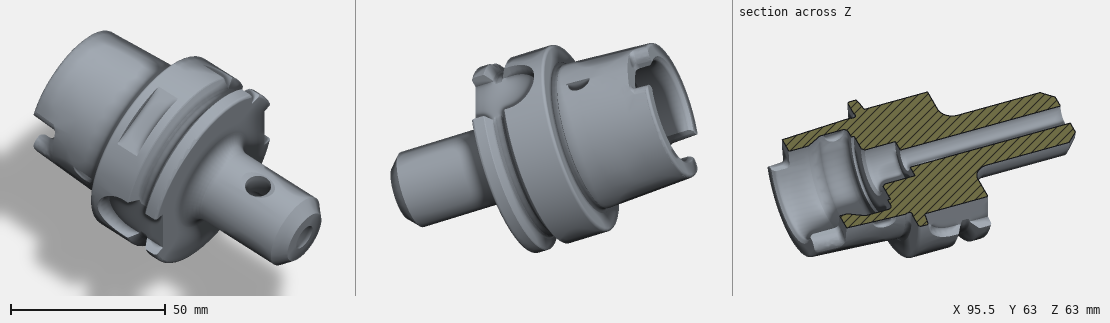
import cadquery as cq
import math

TOTAL_LENGTH = 95.5

TAPER_FACE_RADIUS = 22.7
TAPER_LARGE_RADIUS = 24.4
TAPER_LENGTH = 30.3
TAPER_EDGE_ROUND = 1.0
RELIEF_DEPTH = 0.3
RELIEF_RAMP = 0.2
RELIEF_FILLET = 0.8
FACE_RECESS_RADIUS = 25.5
FACE_RECESS_DEPTH = 0.2

FLANGE_START = 32.0
FLANGE_END = 58.1
FLANGE_RADIUS = 31.5
FLANGE_ROUND = 1.0
GROOVE_CENTRE = 50.0
GROOVE_FLOOR_RADIUS = 27.5
GROOVE_FLANK_RADIUS = 28.3
GROOVE_FLOOR_HALF_WIDTH = 1.0
GROOVE_FLANK_HALF_WIDTH = 1.7
GROOVE_FLANK_ANGLE = 30.0
GROOVE_MOUTH_CHAMFER = 0.3

SHANK_RADIUS = 12.7
SHANK_CHAMFER = 3.8
NECK_FILLET = 5.0

BORE_RADIUS = 17.0
BORE_LIP_LENGTH = 12.8
BORE_ENTRY_WIDTH = 1.05
BORE_ENTRY_ROUND = 1.0
RECESS_RADIUS = 20.0
RECESS_DEPTH = 27.2
RECESS_FILLET = 1.4
CLAMPING_ANGLE = 30.0
BORE_FLOOR_RADIUS = 15.8
BORE_FLOOR_DEPTH = 28.2
COOLANT_POCKET_RADIUS = 8.5
COOLANT_POCKET_CHAMFER = 1.0
COOLANT_POCKET_DEPTH = 11.5
COOLANT_HOLE_DIAMETER = 8.4

SLOT_HALF_WIDTH = 6.1
SLOT_EDGE_FILLET = 3.0
SLOT_FLOOR_FILLET = 1.4
SLOT_INNER_REACH = 9.55
FRONT_SLOT_DEPTH = 10.0
REAR_SLOT_DEPTH = 6.0

ACCESS_HOLE_X = 23.0
ACCESS_HOLE_DIAMETER = 7.5
ACCESS_MOUTH_DIAMETER = 8.4

KEYWAY_CENTRE_X = 45.0
KEYWAY_FLOOR = 26.5
KEYWAY_FLOOR_HALF_WIDTH = 9.0
KEYWAY_RIM_HALF_WIDTH = 9.7

NOTCH_FLOOR_Y = 20.0
NOTCH_WALL_Z = 20.0
NOTCH_END_RADIUS = 8.4

FLAT_START = 35.4
FLAT_WIDTH = 8.0
FLAT_SPAN_ANGLE = 43.0

CROSS_HOLE_X = 76.4
CROSS_HOLE_DIAMETER = 8.4
CROSS_SINK_DIAMETER = 12.0
CROSS_SINK_ANGLE = 120.0

CLEARANCE = 4.8


def make_body():
    """Revolve the outer profile: taper, relief, grooved flange, neck and shank."""
    relief_radius = TAPER_LARGE_RADIUS - RELIEF_DEPTH
    recess_floor = FLANGE_START + FACE_RECESS_DEPTH
    round_offset = 1 - math.sqrt(0.5)
    flank_top = FLANGE_RADIUS - GROOVE_MOUTH_CHAMFER
    flank_run = (flank_top - GROOVE_FLANK_RADIUS) * math.tan(math.radians(GROOVE_FLANK_ANGLE))
    flank_top_half_width = GROOVE_FLANK_HALF_WIDTH + flank_run
    mouth_half_width = flank_top_half_width + GROOVE_MOUTH_CHAMFER
    neck_end = FLANGE_END + NECK_FILLET
    neck_offset = NECK_FILLET * round_offset
    relief_offset = RELIEF_FILLET * round_offset
    edge_offset = FLANGE_ROUND * round_offset
    profile = (
        cq.Workplane("XY")
        .moveTo(0, 0)
        .lineTo(0, TAPER_FACE_RADIUS)
        .lineTo(TAPER_LENGTH, TAPER_LARGE_RADIUS)
        .lineTo(TAPER_LENGTH + RELIEF_RAMP, relief_radius)
        .lineTo(recess_floor - RELIEF_FILLET, relief_radius)
        .threePointArc(
            (recess_floor - relief_offset, relief_radius + relief_offset),
            (recess_floor, relief_radius + RELIEF_FILLET),
        )
        .lineTo(recess_floor, FACE_RECESS_RADIUS)
        .lineTo(FLANGE_START, FACE_RECESS_RADIUS)
        .lineTo(FLANGE_START, FLANGE_RADIUS - FLANGE_ROUND)
        .threePointArc(
            (FLANGE_START + edge_offset, FLANGE_RADIUS - edge_offset),
            (FLANGE_START + FLANGE_ROUND, FLANGE_RADIUS),
        )
        .lineTo(GROOVE_CENTRE - mouth_half_width, FLANGE_RADIUS)
        .lineTo(GROOVE_CENTRE - flank_top_half_width, flank_top)
        .lineTo(GROOVE_CENTRE - GROOVE_FLANK_HALF_WIDTH, GROOVE_FLANK_RADIUS)
        .tangentArcPoint((GROOVE_CENTRE - GROOVE_FLOOR_HALF_WIDTH, GROOVE_FLOOR_RADIUS), relative=False)
        .lineTo(GROOVE_CENTRE + GROOVE_FLOOR_HALF_WIDTH, GROOVE_FLOOR_RADIUS)
        .tangentArcPoint((GROOVE_CENTRE + GROOVE_FLANK_HALF_WIDTH, GROOVE_FLANK_RADIUS), relative=False)
        .lineTo(GROOVE_CENTRE + flank_top_half_width, flank_top)
        .lineTo(GROOVE_CENTRE + mouth_half_width, FLANGE_RADIUS)
        .lineTo(FLANGE_END - FLANGE_ROUND, FLANGE_RADIUS)
        .threePointArc(
            (FLANGE_END - edge_offset, FLANGE_RADIUS - edge_offset),
            (FLANGE_END, FLANGE_RADIUS - FLANGE_ROUND),
        )
        .lineTo(FLANGE_END, SHANK_RADIUS + NECK_FILLET)
        .threePointArc((FLANGE_END + neck_offset, SHANK_RADIUS + neck_offset), (neck_end, SHANK_RADIUS))
        .lineTo(TOTAL_LENGTH - SHANK_CHAMFER, SHANK_RADIUS)
        .lineTo(TOTAL_LENGTH, SHANK_RADIUS - SHANK_CHAMFER)
        .lineTo(TOTAL_LENGTH, 0)
        .close()
    )
    return profile.revolve(360, (0, 0, 0), (1, 0, 0))


def make_bore():
    """Revolve the bore, its coolant pocket and the coolant hole through the shank."""
    hole_radius = COOLANT_HOLE_DIAMETER / 2
    pocket_floor = BORE_FLOOR_DEPTH + COOLANT_POCKET_DEPTH
    fillet_offset = RECESS_FILLET * (1 - math.sqrt(0.5))
    entry_run = BORE_ENTRY_ROUND * math.sqrt(0.5)
    entry_offset = BORE_ENTRY_ROUND - entry_run
    chamfer_depth = BORE_ENTRY_WIDTH - entry_offset
    clamping_run = (RECESS_RADIUS - BORE_RADIUS) / math.tan(math.radians(CLAMPING_ANGLE))
    profile = (
        cq.Workplane("XY")
        .moveTo(0, 0)
        .lineTo(0, BORE_RADIUS + BORE_ENTRY_WIDTH)
        .lineTo(chamfer_depth, BORE_RADIUS + entry_offset)
        .tangentArcPoint((chamfer_depth + entry_run, BORE_RADIUS), relative=False)
        .lineTo(BORE_LIP_LENGTH, BORE_RADIUS)
        .lineTo(BORE_LIP_LENGTH + clamping_run, RECESS_RADIUS)
        .lineTo(RECESS_DEPTH - RECESS_FILLET, RECESS_RADIUS)
        .threePointArc(
            (RECESS_DEPTH - fillet_offset, RECESS_RADIUS - fillet_offset),
            (RECESS_DEPTH, RECESS_RADIUS - RECESS_FILLET),
        )
        .lineTo(RECESS_DEPTH, BORE_FLOOR_RADIUS)
        .lineTo(BORE_FLOOR_DEPTH, BORE_FLOOR_RADIUS)
        .lineTo(BORE_FLOOR_DEPTH, COOLANT_POCKET_RADIUS + COOLANT_POCKET_CHAMFER)
        .lineTo(BORE_FLOOR_DEPTH + COOLANT_POCKET_CHAMFER, COOLANT_POCKET_RADIUS)
        .lineTo(pocket_floor, COOLANT_POCKET_RADIUS)
        .lineTo(pocket_floor, hole_radius)
        .lineTo(TOTAL_LENGTH, hole_radius)
        .lineTo(TOTAL_LENGTH, 0)
        .close()
    )
    return profile.revolve(360, (0, 0, 0), (1, 0, 0))


def cut_drive_slot(body, side, depth):
    """Cut a drive slot into the solid taper end on the +Y (side = 1) or -Y (side = -1) side."""
    outer_reach = FLANGE_RADIUS
    slot = (
        cq.Workplane("XY")
        .box(depth, outer_reach - SLOT_INNER_REACH, 2 * SLOT_HALF_WIDTH, centered=(False, True, True))
        .translate((0, side * (outer_reach + SLOT_INNER_REACH) / 2, 0))
    )
    slotted = body.cut(slot).edges("%HYPERBOLA").fillet(SLOT_EDGE_FILLET)
    floor_centre = (depth, side * (SLOT_INNER_REACH + TAPER_FACE_RADIUS) / 2, 0)
    floor = slotted.faces(cq.selectors.NearestToPointSelector(floor_centre))
    return floor.edges("|Y").fillet(SLOT_FLOOR_FILLET)


def make_taper_edge():
    """Ring outside the rounded outer edge of the taper face."""
    round_start = TAPER_FACE_RADIUS - TAPER_EDGE_ROUND
    round_offset = TAPER_EDGE_ROUND * (1 - math.sqrt(0.5))
    profile = (
        cq.Workplane("XY")
        .moveTo(0, round_start)
        .threePointArc((round_offset, TAPER_FACE_RADIUS - round_offset), (TAPER_EDGE_ROUND, TAPER_FACE_RADIUS))
        .lineTo(TAPER_EDGE_ROUND, TAPER_LARGE_RADIUS)
        .lineTo(0, TAPER_LARGE_RADIUS)
        .close()
    )
    return profile.revolve(360, (0, 0, 0), (1, 0, 0))


def make_access_hole():
    """Cross hole along Y with chamfered mouths, kept only below the axis."""
    hole_radius = ACCESS_HOLE_DIAMETER / 2
    mouth_radius = ACCESS_MOUTH_DIAMETER / 2
    surface_radius = (
        TAPER_FACE_RADIUS + (TAPER_LARGE_RADIUS - TAPER_FACE_RADIUS) * ACCESS_HOLE_X / TAPER_LENGTH
    )
    chamfer_start = surface_radius - (mouth_radius - hole_radius)
    mouth_end = surface_radius + CLEARANCE
    profile = (
        cq.Workplane("XY")
        .moveTo(0, -mouth_end)
        .lineTo(mouth_radius, -mouth_end)
        .lineTo(mouth_radius, -surface_radius)
        .lineTo(hole_radius, -chamfer_start)
        .lineTo(hole_radius, chamfer_start)
        .lineTo(mouth_radius, surface_radius)
        .lineTo(mouth_radius, mouth_end)
        .lineTo(0, mouth_end)
        .close()
    )
    half_hole = profile.revolve(180, (0, 0, 0), (0, 1, 0))
    return half_hole.translate((ACCESS_HOLE_X, 0, 0))


def make_keyway(side):
    """Round-ended keyway with drafted walls, open toward the shank end of the flange."""
    draft = math.atan2(KEYWAY_RIM_HALF_WIDTH - KEYWAY_FLOOR_HALF_WIDTH, FLANGE_RADIUS - KEYWAY_FLOOR)
    open_end = FLANGE_END + CLEARANCE
    keyway = (
        cq.Workplane("XZ", origin=(0, -KEYWAY_FLOOR, 0))
        .moveTo(open_end, -KEYWAY_FLOOR_HALF_WIDTH)
        .lineTo(KEYWAY_CENTRE_X, -KEYWAY_FLOOR_HALF_WIDTH)
        .threePointArc(
            (KEYWAY_CENTRE_X - KEYWAY_FLOOR_HALF_WIDTH, 0),
            (KEYWAY_CENTRE_X, KEYWAY_FLOOR_HALF_WIDTH),
        )
        .lineTo(open_end, KEYWAY_FLOOR_HALF_WIDTH)
        .close()
        .extrude(FLANGE_RADIUS - KEYWAY_FLOOR + 1, taper=-math.degrees(draft))
    )
    if side > 0:
        keyway = keyway.mirror("XZ")
    return keyway


def make_orientation_notch():
    """Round-ended notch with a floor facing +Y and a lower wall facing +Z."""
    end_centre_z = NOTCH_WALL_Z + NOTCH_END_RADIUS
    straight_length = FLANGE_END + CLEARANCE - KEYWAY_CENTRE_X
    straight = (
        cq.Workplane("XY")
        .box(straight_length, FLANGE_RADIUS, 2 * NOTCH_END_RADIUS, centered=(False, False, True))
        .translate((KEYWAY_CENTRE_X, NOTCH_FLOOR_Y, end_centre_z))
    )
    round_end = (
        cq.Workplane("XZ", origin=(KEYWAY_CENTRE_X, NOTCH_FLOOR_Y, end_centre_z))
        .circle(NOTCH_END_RADIUS)
        .extrude(-FLANGE_RADIUS)
    )
    return straight.union(round_end)


def make_flat():
    """Block outside a chord that runs from the top of the flange toward -Y."""
    half_span = FLAT_SPAN_ANGLE / 2
    chord_distance = FLANGE_RADIUS * math.cos(math.radians(half_span))
    block = (
        cq.Workplane("XY")
        .box(FLAT_WIDTH, 2 * FLANGE_RADIUS, FLANGE_RADIUS, centered=(False, True, False))
        .translate((FLAT_START, 0, chord_distance))
    )
    return block.rotate((0, 0, 0), (1, 0, 0), half_span)


def make_cross_hole():
    """Radial hole from the top of the shank to the axis, with a countersink."""
    hole_radius = CROSS_HOLE_DIAMETER / 2
    sink_radius = CROSS_SINK_DIAMETER / 2
    sink_depth = (sink_radius - hole_radius) / math.tan(math.radians(CROSS_SINK_ANGLE / 2))
    profile = (
        cq.Workplane("XZ")
        .moveTo(0, 0)
        .lineTo(hole_radius, 0)
        .lineTo(hole_radius, SHANK_RADIUS - sink_depth)
        .lineTo(sink_radius, SHANK_RADIUS)
        .lineTo(0, SHANK_RADIUS)
        .close()
    )
    return profile.revolve(360, (0, 0, 0), (0, 1, 0)).translate((CROSS_HOLE_X, 0, 0))


body = make_body()
body = cut_drive_slot(body, -1, FRONT_SLOT_DEPTH)
body = cut_drive_slot(body, 1, REAR_SLOT_DEPTH)
result = (
    body.cut(make_taper_edge())
    .cut(make_bore())
    .cut(make_access_hole())
    .cut(make_keyway(-1))
    .cut(make_keyway(1))
    .cut(make_orientation_notch())
    .cut(make_flat())
    .cut(make_cross_hole())
)